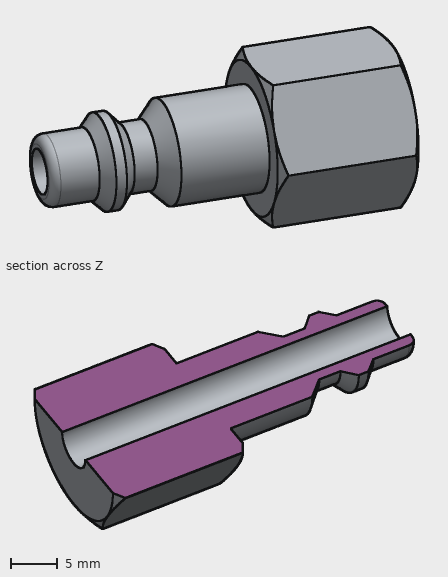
import cadquery as cq
import math

length = 40.0
across_flats = 17.0
hex_length = 16.0
hex_chamfer_angle = 30.0

shank_diameter = 11.8
shank_length = 10.0
shoulder_length = 2.0
neck_diameter = 7.8
neck_length = 2.6
collar_diameter = 10.8
collar_rear_length = 1.4
collar_width = 1.2
tip_diameter = 8.0
tip_length = 5.4
tip_rounding = 1.0
bore_diameter = 5.0

across_corners = across_flats / math.cos(math.radians(30))
hex_start = length - hex_length
shank_start = hex_start - shank_length
neck_end = shank_start - shoulder_length
neck_start = neck_end - neck_length
collar_end = neck_start - collar_rear_length
collar_start = collar_end - collar_width


def revolve_about_y(profile):
    return profile.close().revolve(360, (0, 0, 0), (0, 1, 0))


def make_hexagon():
    """Hexagonal head with corners on X, both ends turned to a cone."""
    prism = (
        cq.Workplane("XZ", origin=(0, length, 0))
        .polygon(6, across_corners)
        .extrude(hex_length)
    )
    face_radius = across_flats / 2
    outer_radius = across_corners
    drop = (outer_radius - face_radius) * math.tan(math.radians(hex_chamfer_angle))
    envelope = revolve_about_y(
        cq.Workplane("XY")
        .moveTo(0, hex_start)
        .lineTo(face_radius, hex_start)
        .lineTo(outer_radius, hex_start + drop)
        .lineTo(outer_radius, length - drop)
        .lineTo(face_radius, length)
        .lineTo(0, length)
    )
    return prism.intersect(envelope)


def make_stem():
    """Turned stem: rounded tip, locking collar, neck, shoulder and shank."""
    tip_radius = tip_diameter / 2
    return revolve_about_y(
        cq.Workplane("XY")
        .lineTo(tip_radius - tip_rounding, 0)
        .radiusArc((tip_radius, tip_rounding), -tip_rounding)
        .lineTo(tip_radius, tip_length)
        .lineTo(collar_diameter / 2, collar_start)
        .lineTo(collar_diameter / 2, collar_end)
        .lineTo(neck_diameter / 2, neck_start)
        .lineTo(neck_diameter / 2, neck_end)
        .lineTo(shank_diameter / 2, shank_start)
        .lineTo(shank_diameter / 2, hex_start)
        .lineTo(0, hex_start)
    )


def make_bore():
    """Straight passage through the whole length."""
    return cq.Workplane("XZ", origin=(0, length, 0)).circle(bore_diameter / 2).extrude(length)


result = make_hexagon().union(make_stem()).cut(make_bore())